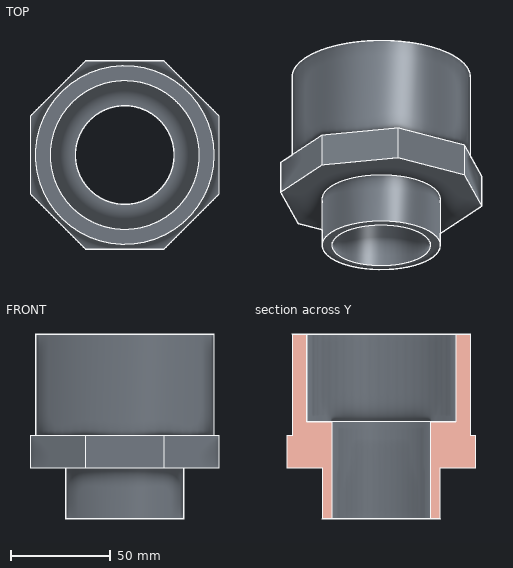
import cadquery as cq
import math

total_height = 93.0
spigot_height = 25.5
collar_height = 16.5
collar_top = spigot_height + collar_height
socket_height = total_height - collar_top

collar_across_flats = 95.0
collar_sides = 8
socket_outer_diameter = 90.0
socket_bore_diameter = 75.0
socket_bore_depth = 44.0
spigot_outer_diameter = 59.6
through_bore_diameter = 49.6


def cylinder(diameter, bottom, height):
    """Upright cylinder on the Z axis, starting at the given level."""
    return cq.Workplane("XY").workplane(offset=bottom).circle(diameter / 2).extrude(height)


def octagonal_collar():
    """Wrench collar with flats square to X and Y."""
    half_side_angle = math.pi / collar_sides
    across_corners = collar_across_flats / math.cos(half_side_angle)
    collar = cq.Workplane("XY").polygon(collar_sides, across_corners).extrude(collar_height)
    turned = collar.rotate((0, 0, 0), (0, 0, 1), math.degrees(half_side_angle))
    return turned.translate((0, 0, spigot_height))


def adapter_body():
    """Spigot, collar and socket stacked as one solid."""
    spigot = cylinder(spigot_outer_diameter, 0, spigot_height)
    socket = cylinder(socket_outer_diameter, collar_top, socket_height)
    return spigot.union(octagonal_collar()).union(socket)


socket_bore = cylinder(socket_bore_diameter, total_height - socket_bore_depth, socket_bore_depth)
through_bore = cylinder(through_bore_diameter, 0, total_height)

result = adapter_body().cut(socket_bore).cut(through_bore)